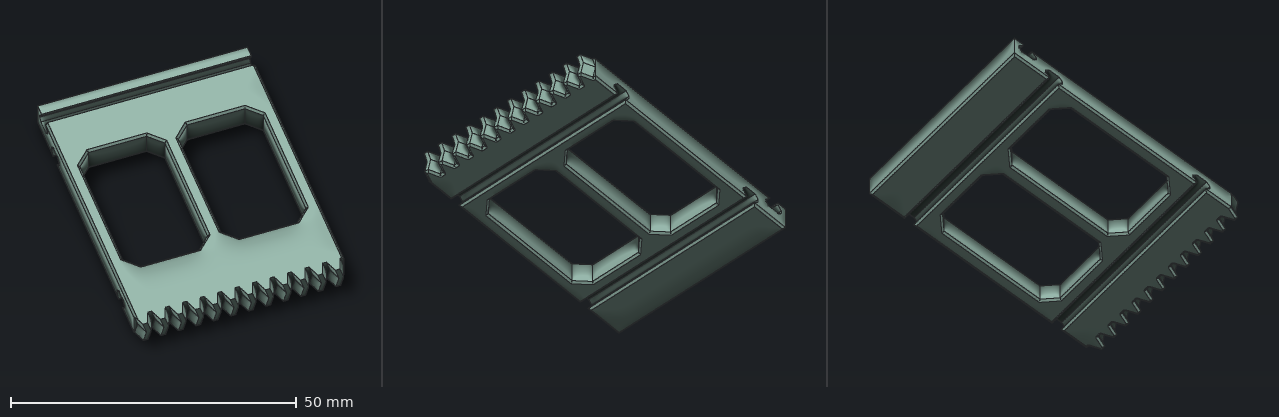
import cadquery as cq
import math

LENGTH = 52.25
WIDTH = 39.05
THICKNESS = 5.0
MID_HEIGHT = THICKNESS / 2
EDGE_CHAMFER = 0.4
CHAMFER_TAPER = 45

TOOTH_COUNT = 12
TOOTH_DEPTH_MODULES = 2.25
HELIX_ANGLE = math.radians(15)
PRESSURE_ANGLE = math.radians(20)
PITCH = WIDTH / TOOTH_COUNT
MODULE = PITCH * math.cos(HELIX_ANGLE) / math.pi
TOOTH_DEPTH = TOOTH_DEPTH_MODULES * MODULE
FLANK_SLOPE = math.tan(PRESSURE_ANGLE) / math.cos(HELIX_ANGLE)
TIP_HALF = PITCH / 4 - MODULE * FLANK_SLOPE
BASE_HALF = TIP_HALF + TOOTH_DEPTH * FLANK_SLOPE
TOOTH_OVERLAP = 0.5
HELIX_SHIFT = PITCH - 2 * BASE_HALF

TIP_X = LENGTH / 2
ROOT_X = TIP_X - TOOTH_DEPTH
LEFT_X = -LENGTH / 2

NECK_HALF = 1.05
TOP_GROOVE_X = LEFT_X + 3.1
TOP_GROOVE_HALF = 2.0
TOP_GROOVE_DEPTH = 2.5
TOP_GROOVE_NECK = 0.4
TOP_GROOVE_CORNER = 0.65
BOTTOM_GROOVE_SPACING = 33.95
BOTTOM_GROOVE_HALF = 1.95
BOTTOM_GROOVE_DEPTH = 2.7
BOTTOM_GROOVE_NECK = 0.45
BOTTOM_GROOVE_CORNER = 0.8

WINDOW_LENGTH = 27.1
WINDOW_WIDTH = 15.8
WINDOW_SPACING = 18.3
WINDOW_CORNER = 2.5


def make_tooth(middle):
    """One V-shaped tooth: displaced towards +Y at mid height, towards -Y at both faces."""

    def section(height, shift):
        center = middle + shift
        points = [
            (ROOT_X - TOOTH_OVERLAP, center - BASE_HALF),
            (ROOT_X, center - BASE_HALF),
            (TIP_X, center - TIP_HALF),
            (TIP_X, center + TIP_HALF),
            (ROOT_X, center + BASE_HALF),
            (ROOT_X - TOOTH_OVERLAP, center + BASE_HALF),
        ]
        corners = [cq.Vector(x, y, height) for x, y in points]
        return cq.Wire.makePolygon(corners, close=True)

    bottom = section(0, -HELIX_SHIFT / 2)
    waist = section(MID_HEIGHT, HELIX_SHIFT / 2)
    top = section(THICKNESS, -HELIX_SHIFT / 2)
    lower = cq.Solid.makeLoft([bottom, waist], True)
    upper = cq.Solid.makeLoft([waist, top], True)
    return cq.Workplane(lower.fuse(upper))


def sloped_layer(body, height, thickness, taper):
    """Tapered layer grown upwards or downwards from the outline of a body at a given height."""
    outline = body.section(height).wires().toPending()
    return outline.extrude(thickness, taper=taper, combine=False)


def make_plate():
    """Plate with its rack, the whole rim of the bottom face chamfered, teeth included."""
    plate = cq.Workplane().box(ROOT_X - LEFT_X, WIDTH, THICKNESS, centered=(False, True, False))
    plate = plate.translate((LEFT_X, 0, 0))
    for index in range(TOOTH_COUNT):
        plate = plate.union(make_tooth((index + 0.5) * PITCH - WIDTH / 2))
    foot = sloped_layer(plate, EDGE_CHAMFER, -EDGE_CHAMFER, CHAMFER_TAPER)
    foot_space = cq.Workplane().box(2 * LENGTH, 2 * WIDTH, EDGE_CHAMFER, centered=(True, True, False))
    return plate.cut(foot_space).union(foot)


def groove_cutter(points):
    """Full-width groove from the +X half of its profile, mirrored about the groove's centre."""
    mirrored = [(-x, z) for x, z in reversed(points)]
    return cq.Workplane("XZ").polyline(points + mirrored).close().extrude(WIDTH / 2, both=True)


def make_top_groove():
    flare = TOP_GROOVE_HALF - NECK_HALF
    profile = [
        (NECK_HALF, 0),
        (NECK_HALF, -TOP_GROOVE_NECK),
        (TOP_GROOVE_HALF, -TOP_GROOVE_NECK - flare),
        (TOP_GROOVE_HALF, -TOP_GROOVE_DEPTH + TOP_GROOVE_CORNER),
        (TOP_GROOVE_HALF - TOP_GROOVE_CORNER, -TOP_GROOVE_DEPTH),
    ]
    return groove_cutter(profile).translate((TOP_GROOVE_X, 0, THICKNESS))


def make_bottom_groove(center_x):
    flare = BOTTOM_GROOVE_HALF - NECK_HALF
    profile = [
        (NECK_HALF + EDGE_CHAMFER, 0),
        (NECK_HALF, EDGE_CHAMFER),
        (NECK_HALF, BOTTOM_GROOVE_NECK),
        (BOTTOM_GROOVE_HALF, BOTTOM_GROOVE_NECK + flare),
        (BOTTOM_GROOVE_HALF, BOTTOM_GROOVE_DEPTH - BOTTOM_GROOVE_CORNER),
        (BOTTOM_GROOVE_HALF - BOTTOM_GROOVE_CORNER, BOTTOM_GROOVE_DEPTH),
    ]
    return groove_cutter(profile).translate((center_x, 0, 0))


def make_window(center_y):
    """Octagonal opening widened by a chamfer at both faces."""
    block = cq.Workplane().box(WINDOW_LENGTH, WINDOW_WIDTH, THICKNESS, centered=(True, True, False))
    opening = block.edges("|Z").chamfer(WINDOW_CORNER)
    top_flare = sloped_layer(opening, THICKNESS - EDGE_CHAMFER, EDGE_CHAMFER, -CHAMFER_TAPER)
    bottom_flare = sloped_layer(opening, EDGE_CHAMFER, -EDGE_CHAMFER, -CHAMFER_TAPER)
    return opening.union(top_flare).union(bottom_flare).translate((0, center_y, 0))


def make_top_edge_chamfer(side):
    """Wedge along one long top edge, from the top groove to the rack end."""
    profile = [
        (side * WIDTH / 2, THICKNESS),
        (side * (WIDTH / 2 - EDGE_CHAMFER), THICKNESS),
        (side * WIDTH / 2, THICKNESS - EDGE_CHAMFER),
    ]
    outline = cq.Workplane("YZ", origin=(TOP_GROOVE_X, 0, 0)).polyline(profile).close()
    return outline.extrude(TIP_X - TOP_GROOVE_X)


result = make_plate().cut(make_top_groove())
for side in (-1, 1):
    result = result.cut(make_bottom_groove(side * BOTTOM_GROOVE_SPACING / 2))
    result = result.cut(make_window(side * WINDOW_SPACING / 2))
    result = result.cut(make_top_edge_chamfer(side))